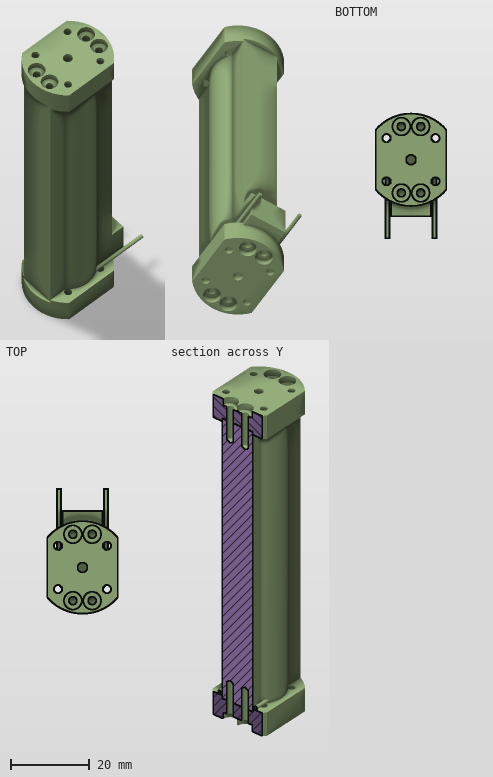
import cadquery as cq
import math

total_length = 96.6

cap_radius = 11.8
cap_width = 18.0
cap_thickness = 7.1
slot_depth = 1.1
cap_web = cap_thickness - slot_depth

bar_width = 10.2
bar_depth = 21.0
barrel_radius = 7.4
bar_length = total_length - 2 * cap_web
barrel_length = total_length - 2 * cap_thickness

block_reach = 14.4
block_height = 9.95

wire_diameter = 1.1
wire_offset = 6.0
wire_tip = 20.0
wire_gap = 0.1
wire_height = cap_thickness + wire_diameter / 2 + wire_gap

screw_pitch_x = 4.9
screw_pitch_y = 16.9
screw_diameter = 2.0
screw_head_diameter = 4.5
screw_head_depth = 1.9
screw_hole_depth = 5.8
drill_point_angle = 118.0

mount_pitch_x = 12.5
mount_pitch_y = 11.0
mount_diameter = 2.0
centre_diameter = 2.5


def make_cap():
    """Upper cap, with its outer face at the top of the part."""
    inner_z = total_length / 2 - cap_thickness
    disc = cq.Workplane("XY", origin=(0, 0, inner_z)).circle(cap_radius).extrude(cap_thickness)
    flats = cq.Workplane("XY").box(cap_width, 2 * cap_radius, total_length)
    slot = cq.Workplane("XY").box(bar_width, 2 * cap_radius, bar_length)
    return (
        disc.intersect(flats)
        .cut(slot)
        .faces(">Z")
        .workplane(origin=(0, 0, 0))
        .hole(centre_diameter)
        .faces(">Z")
        .workplane(origin=(0, 0, 0))
        .rarray(mount_pitch_x, mount_pitch_y, 2, 2)
        .hole(mount_diameter)
        .faces(">Z")
        .workplane(origin=(0, 0, 0))
        .rarray(screw_pitch_x, screw_pitch_y, 2, 2)
        .cboreHole(screw_diameter, screw_head_diameter, screw_head_depth)
    )


def make_screw_holes():
    """Blind holes with conical bottoms, sunk into the upper end of the bar."""
    radius = screw_diameter / 2
    point_depth = radius / math.tan(math.radians(drill_point_angle / 2))
    drill = (
        cq.Workplane("XZ")
        .lineTo(radius, 0)
        .lineTo(radius, -screw_hole_depth)
        .lineTo(0, -screw_hole_depth - point_depth)
        .close()
        .revolve(360, (0, 0, 0), (0, 1, 0))
        .val()
    )
    return (
        cq.Workplane("XY", origin=(0, 0, bar_length / 2))
        .rarray(screw_pitch_x, screw_pitch_y, 2, 2)
        .eachpoint(lambda location: drill.located(location))
    )


def make_wire(x):
    """Straight lead running from inside the barrel out to +Y."""
    z = wire_height - total_length / 2
    return cq.Workplane("XZ", origin=(x, 0, z)).circle(wire_diameter / 2).extrude(-wire_tip)


def make_housing():
    """Bar, barrel, terminal block and both leads, with the screw holes in each end."""
    bar = cq.Workplane("XY").box(bar_width, bar_depth, bar_length)
    barrel = cq.Workplane("XY").circle(barrel_radius).extrude(barrel_length / 2, both=True)
    block = cq.Workplane("XY", origin=(0, 0, -bar_length / 2)).box(
        bar_width, block_reach, block_height, centered=(True, False, False)
    )
    housing = bar.union(barrel).union(block)
    for x in (-wire_offset, wire_offset):
        housing = housing.union(make_wire(x))
    upper_holes = make_screw_holes()
    return housing.cut(upper_holes).cut(upper_holes.mirror("XY"))


housing = make_housing().solids()
upper_cap = make_cap().solids()
caps = [upper_cap, upper_cap.mirror("XY").solids()]

result = cq.Compound.makeCompound([housing.val(), *[cap.val() for cap in caps]])